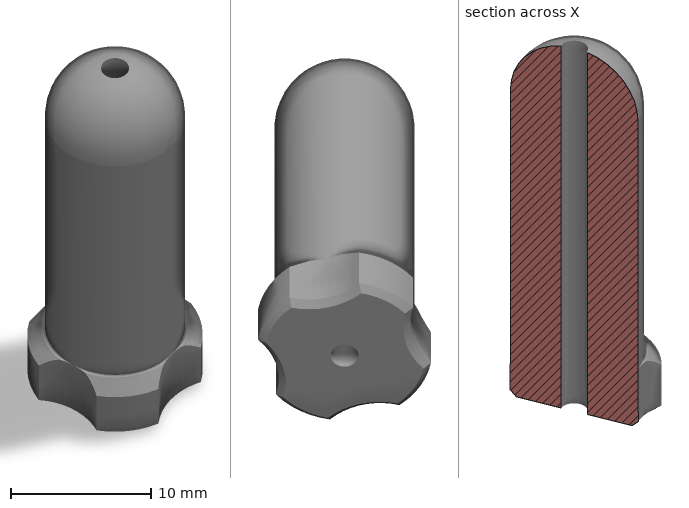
import cadquery as cq
import math

total_height = 31.15
body_diameter = 10.0
bore_diameter = 2.0
collar_diameter = 12.5
collar_height = 5.0
collar_top_chamfer = 1.0
collar_base_chamfer = 0.5
scallop_count = 4

body_radius = body_diameter / 2
bore_radius = bore_diameter / 2

scallop_radius = body_radius
scallop_distance = body_radius + scallop_radius

nose_height = math.sqrt(body_radius**2 - bore_radius**2)
nose_base = total_height - nose_height


def make_body():
    """Cylinder with a hemispherical nose, starting just above the collar's base chamfer."""
    cylinder = (
        cq.Workplane("XY")
        .workplane(offset=collar_base_chamfer)
        .circle(body_radius)
        .extrude(nose_base - collar_base_chamfer)
    )
    nose = cq.Workplane("XY").workplane(offset=nose_base).sphere(body_radius)
    return cylinder.union(nose)


def make_collar():
    """Scalloped grip ring, chamfered on its upper rim and all round its base."""
    blank = (
        cq.Workplane("XY")
        .circle(collar_diameter / 2)
        .extrude(collar_height)
        .faces(">Z")
        .edges()
        .chamfer(collar_top_chamfer)
    )
    scallops = (
        cq.Workplane("XY")
        .polarArray(scallop_distance, 0, 360, scallop_count)
        .circle(scallop_radius)
        .extrude(collar_height)
    )
    return blank.cut(scallops).faces("<Z").edges().chamfer(collar_base_chamfer)


def make_bore():
    """Straight hole along the axis, reaching past the tip of the nose."""
    return cq.Workplane("XY").circle(bore_radius).extrude(nose_base + body_diameter)


result = make_body().union(make_collar()).cut(make_bore())